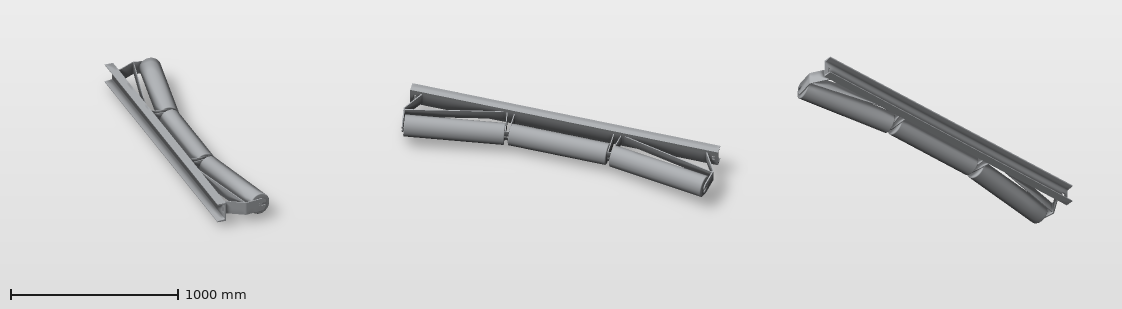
import cadquery as cq
import math


channel_length = 1900.0
channel_height = 120.0
flange_width = 54.0
web_thickness = 7.0
flange_thickness = 9.0
flange_slope = 0.08
root_radius = 8.0
toe_radius = 4.0

slot_x = 920.0
slot_width = 17.0
slot_height = 33.0

roller_diameter = 132.0
roller_length = 603.0
roller_edge_radius = 5.0
axle_diameter = 20.0
axle_flat_width = 17.0
axle_reach = 10.0
trough_angle = 10
forward_tilt = 2
middle_axis_y = 117.0
middle_axis_z = -20.0
wing_x = 632.0
wing_y = 175.0
wing_z = middle_axis_z / 2

inner_plate = 5.0
outer_plate = 8.0
bracket_height = 80.0
inner_gap = 2.0
outer_gap = 4.0
inner_bracket_top = 144.0
inner_bracket_z = -8.0
arm_tip_reach = 33.0
arm_tip_cut_height = 15.0
arm_tip_cut_length = 23.0
knee_drop = 103.0
bend_inside_radius = 5.0
bend_outside_radius = 15.0
foot_x = 885.0

brace_thickness = 5.0
brace_foot_x = 370.0
brace_angle = 13.1
brace_height = 65.0

axle_length = roller_length + 2 * axle_reach
cos_trough = math.cos(math.radians(trough_angle))
sin_trough = math.sin(math.radians(trough_angle))


def place_wing(body, side):
    """Move a body modelled along X at the origin to the wing position on one side."""
    return (
        body.rotate((0, 0, 0), (0, 1, 0), -side * forward_tilt)
        .rotate((0, 0, 0), (0, 0, 1), side * trough_angle)
        .translate((side * wing_x, wing_y, wing_z))
    )


def place_middle(body):
    return body.translate((0, middle_axis_y, middle_axis_z))


def wing_point(along, up):
    """XY point in the right wing's frame: distance along its axis and square to it."""
    return (
        wing_x + along * cos_trough - up * sin_trough,
        wing_y + along * sin_trough + up * cos_trough,
    )


def plate(points, side, height):
    """Upright plate with an XY outline given for the right side."""
    outline = [(side * x, y) for x, y in points]
    return cq.Workplane("XY", origin=(0, 0, -height / 2)).polyline(outline).close().extrude(height)


def along_x(length):
    """Workplane square to X, half a length before the middle."""
    return cq.Workplane("YZ", origin=(-length / 2, 0, 0))


def make_channel():
    half_height = channel_height / 2
    taper = flange_slope * flange_width / 2
    toe_z = half_height - flange_thickness + taper
    root_z = half_height - flange_thickness - taper
    channel = (
        along_x(channel_length)
        .polyline([
            (0, -half_height),
            (-flange_width, -half_height),
            (-flange_width, -toe_z),
            (-web_thickness, -root_z),
            (-web_thickness, root_z),
            (-flange_width, toe_z),
            (-flange_width, half_height),
            (0, half_height),
        ])
        .close()
        .extrude(channel_length)
    )
    for z in (-root_z, root_z):
        channel = channel.edges(cq.NearestToPointSelector((0, -web_thickness, z))).fillet(root_radius)
    for z in (-toe_z, toe_z):
        channel = channel.edges(cq.NearestToPointSelector((0, -flange_width, z))).fillet(toe_radius)
    slots = (
        cq.Workplane("XZ")
        .pushPoints([(-slot_x, 0), (slot_x, 0)])
        .rect(slot_width, slot_height)
        .extrude(web_thickness)
    )
    return channel.cut(slots)


def make_roller():
    """Roller with its axle along X; the axle has flats above and below."""
    shell = (
        along_x(roller_length)
        .circle(roller_diameter / 2)
        .extrude(roller_length)
        .edges("%CIRCLE")
        .fillet(roller_edge_radius)
    )
    axle = along_x(axle_length).circle(axle_diameter / 2).extrude(axle_length)
    flats = cq.Workplane("XY").box(axle_length, axle_diameter, axle_flat_width)
    return shell.union(axle.intersect(flats))


def make_axle_slot():
    """Cutter for the bracket slots, open away from the channel and closed below the axle."""
    depth = axle_diameter / 2 + 2 * arm_tip_reach
    return (
        cq.Workplane("XY")
        .box(axle_length + outer_plate, depth, axle_flat_width)
        .translate((0, depth / 2 - axle_diameter / 2, 0))
    )


def wing_slant_x(along, y):
    """X of the line square to the right wing axis, at a given Y."""
    x, start_y = wing_point(along, 0)
    return x - (y - start_y) * sin_trough / cos_trough


def make_inner_bracket(side):
    """Folded plate between the middle roller and a wing roller."""
    middle_face = roller_length / 2 + inner_gap
    wing_face = -roller_length / 2 - inner_gap
    slant_width = inner_plate / cos_trough
    under_top = inner_bracket_top - inner_plate
    bracket = plate(
        [
            (middle_face, 0),
            (middle_face, inner_bracket_top),
            (wing_slant_x(wing_face, inner_bracket_top), inner_bracket_top),
            (wing_slant_x(wing_face, 0), 0),
            (wing_slant_x(wing_face, 0) - slant_width, 0),
            (wing_slant_x(wing_face, under_top) - slant_width, under_top),
            (middle_face + inner_plate, under_top),
            (middle_face + inner_plate, 0),
        ],
        side,
        bracket_height,
    )
    bracket = bracket.translate((0, 0, inner_bracket_z))
    return bracket.cut(place_middle(make_axle_slot())).cut(place_wing(make_axle_slot(), side))


arm_face = roller_length / 2 + outer_gap
knee_inside = wing_point(arm_face, -knee_drop)
knee_outside = wing_point(arm_face + outer_plate, -knee_drop)


def make_outer_bracket(side):
    """Bent plate with a sloping foot and a slotted arm at the outer end of a wing roller."""
    foot_run = foot_x - knee_outside[0]
    foot_width = outer_plate * math.hypot(foot_run, knee_outside[1]) / knee_outside[1]
    bracket = plate(
        [
            wing_point(arm_face, arm_tip_reach),
            wing_point(arm_face + outer_plate, arm_tip_reach),
            knee_outside,
            (foot_x, 0),
            (foot_x - foot_width, 0),
            knee_inside,
        ],
        side,
        bracket_height,
    )
    for (x, y), radius in ((knee_inside, bend_inside_radius), (knee_outside, bend_outside_radius)):
        bracket = bracket.edges(cq.NearestToPointSelector((side * x, y, 0))).fillet(radius)
    across = cq.Vector(cos_trough, side * sin_trough, 0)
    outward = cq.Vector(-side * sin_trough, cos_trough, 0)
    bracket = (
        bracket.faces(cq.DirectionMinMaxSelector(outward))
        .edges(cq.ParallelDirSelector(across))
        .chamfer(arm_tip_cut_height, arm_tip_cut_length)
    )
    return bracket.cut(place_wing(make_axle_slot(), side))


def make_brace(side):
    """Sloping flat bar from the channel to the arm of an outer bracket."""
    slope = math.tan(math.radians(brace_angle))
    width = brace_thickness / math.sin(math.radians(brace_angle))
    lean = sin_trough / cos_trough

    def end_point(start_x):
        """Crossing of a bar face with the inner face of the arm."""
        x, y = knee_inside
        end_x = (x + lean * (y + slope * start_x)) / (1 + lean * slope)
        return (end_x, slope * (end_x - start_x))

    return plate(
        [
            (brace_foot_x, 0),
            (brace_foot_x + width, 0),
            end_point(brace_foot_x + width),
            end_point(brace_foot_x),
        ],
        side,
        brace_height,
    )


channel = make_channel()
middle_roller = place_middle(make_roller())
bodies = [channel.val(), middle_roller.val()]
for side in (-1, 1):
    bodies.append(place_wing(make_roller(), side).val())
    bodies.append(make_inner_bracket(side).val())
    bodies.append(make_outer_bracket(side).val())
    bodies.append(make_brace(side).val())

result = cq.Compound.makeCompound(bodies)